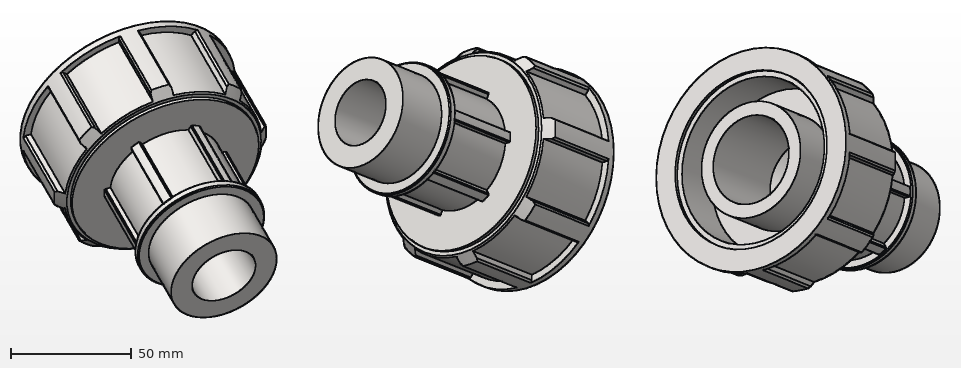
import cadquery as cq
import math

TOTAL_LENGTH = 104.0

TRIM_ALLOWANCE = 1.0

NUT_DIAMETER = 96.0
NUT_ROOT_DIAMETER = 89.2
NUT_LENGTH = 40.2
NUT_CHAMFER = 4.1
NUT_COLLAR_LENGTH = 3.1
NUT_RIB_COUNT = 8
NUT_RIB_WIDTH = 9.4
NUT_RIB_EDGE_WIDTH = 0.7
NUT_RIB_EDGE_HEIGHT = 1.0

CAVITY_DIAMETER = 72.0
CAVITY_DEPTH = 23.9
RECESS_DIAMETER = 76.8
RECESS_DEPTH = 1.6

RING_DIAMETER = 84.5
RING_END = 41.8

NECK_DIAMETER = 50.0
NECK_RIB_DIAMETER = 55.3
NECK_RIB_COUNT = 6
NECK_RIB_WIDTH = 4.7
NECK_RIB_EDGE_WIDTH = 0.3
NECK_RIB_EDGE_HEIGHT = 0.6

FLANGE_DIAMETER = 57.4
FLANGE_START = 76.5
FLANGE_WIDTH = 3.5
FLANGE_CHAMFER = 0.5
TAIL_DIAMETER = 47.8

WIDE_BORE_DIAMETER = 38.3
NARROW_BORE_DIAMETER = 28.7
TAPER_START = RING_END
TAPER_LENGTH = 4.0


def cylinder(diameter, start, end):
    """Solid cylinder on the X axis from X = start to X = end."""
    return cq.Workplane("YZ").workplane(offset=start).circle(diameter / 2).extrude(end - start)


def ribs(count, width, tip_diameter, edge_width, edge_height, start, end):
    """Bevelled lengthwise ribs around the X axis, the first one toward -Y, left overlong for trimming."""
    tip = tip_diameter / 2
    half_width = width / 2
    half_top = half_width - edge_width
    top_edge = math.sqrt(tip**2 - half_top**2)
    bevel_start = top_edge - edge_height
    rib = (
        cq.Workplane("YZ")
        .workplane(offset=start)
        .moveTo(0, -half_width)
        .lineTo(-bevel_start, -half_width)
        .lineTo(-top_edge, -half_top)
        .lineTo(-tip - TRIM_ALLOWANCE, -half_top)
        .lineTo(-tip - TRIM_ALLOWANCE, half_top)
        .lineTo(-top_edge, half_top)
        .lineTo(-bevel_start, half_width)
        .lineTo(0, half_width)
        .close()
        .extrude(end - start)
    )
    ring = rib
    for index in range(1, count):
        ring = ring.union(rib.rotate((0, 0, 0), (1, 0, 0), index * 360 / count))
    return ring


def make_nut():
    """Ribbed nut with a full collar at the open face and a chamfered back edge."""
    envelope = cylinder(NUT_DIAMETER, 0, NUT_LENGTH).faces(">X").chamfer(NUT_CHAMFER)
    collar = cylinder(NUT_DIAMETER + 2 * TRIM_ALLOWANCE, 0, NUT_COLLAR_LENGTH)
    root = cylinder(NUT_ROOT_DIAMETER, 0, NUT_LENGTH)
    grips = ribs(NUT_RIB_COUNT, NUT_RIB_WIDTH, NUT_DIAMETER, NUT_RIB_EDGE_WIDTH,
                 NUT_RIB_EDGE_HEIGHT, 0, NUT_LENGTH)
    recess = cylinder(RECESS_DIAMETER, 0, RECESS_DEPTH)
    cavity = cylinder(CAVITY_DIAMETER, 0, CAVITY_DEPTH)
    body = root.union(grips).union(collar)
    return body.intersect(envelope).cut(recess).cut(cavity)


def make_adapter():
    """Spigot, ring, ribbed neck, flange and tail."""
    flange_end = FLANGE_START + FLANGE_WIDTH
    neck = cylinder(NECK_DIAMETER, 0, FLANGE_START)
    ring = cylinder(RING_DIAMETER, CAVITY_DEPTH, RING_END)
    neck_ribs = ribs(NECK_RIB_COUNT, NECK_RIB_WIDTH, NECK_RIB_DIAMETER, NECK_RIB_EDGE_WIDTH,
                     NECK_RIB_EDGE_HEIGHT, NUT_LENGTH, FLANGE_START)
    neck_ribs = neck_ribs.intersect(cylinder(NECK_RIB_DIAMETER, NUT_LENGTH, FLANGE_START))
    flange = cylinder(FLANGE_DIAMETER, FLANGE_START, flange_end).edges().chamfer(FLANGE_CHAMFER)
    tail = cylinder(TAIL_DIAMETER, FLANGE_START, TOTAL_LENGTH)
    return neck.union(ring).union(neck_ribs).union(flange).union(tail)


def make_bore():
    """Wide bore, conical taper and narrow bore as one turned solid."""
    taper_end = TAPER_START + TAPER_LENGTH
    profile = [
        (0, 0),
        (0, WIDE_BORE_DIAMETER / 2),
        (TAPER_START, WIDE_BORE_DIAMETER / 2),
        (taper_end, NARROW_BORE_DIAMETER / 2),
        (TOTAL_LENGTH, NARROW_BORE_DIAMETER / 2),
        (TOTAL_LENGTH, 0),
    ]
    return cq.Workplane("XY").polyline(profile).close().revolve(360, (0, 0, 0), (1, 0, 0))


result = make_nut().union(make_adapter()).cut(make_bore())